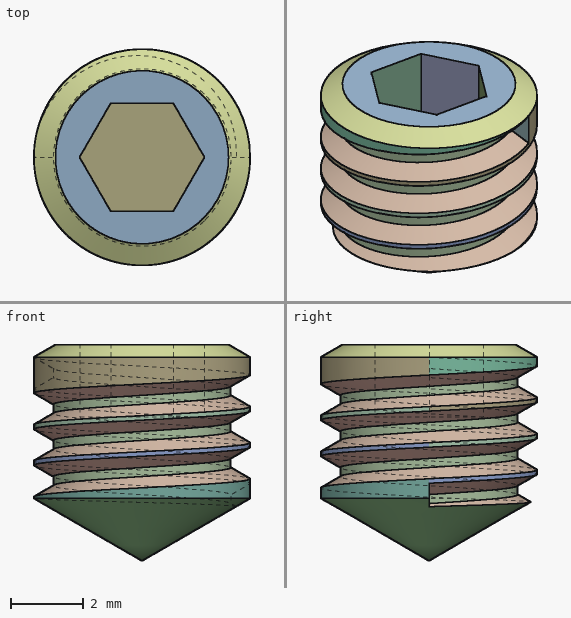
import cadquery as cq
import math

SCREW_DIAMETER = 6.0
SCREW_LENGTH = 6.0
THREAD_PITCH = 1.0
THREAD_TURNS = 3.5
SOCKET_ACROSS_FLATS = 3.0
SOCKET_DEPTH = 2.0
CHAMFER_WIDTH = 0.6
SLOPE = math.tan(math.radians(30))

screw_radius = SCREW_DIAMETER / 2
cone_height = screw_radius * SLOPE
shoulder_z = SCREW_LENGTH - CHAMFER_WIDTH * SLOPE

groove_mouth = THREAD_PITCH * 7 / 8
groove_root = THREAD_PITCH / 4
groove_depth = (groove_mouth - groove_root) / 2 / SLOPE
root_radius = screw_radius - groove_depth
GROOVE_OVERRUN = 0.1


def make_blank():
    """Solid of revolution with the cone point and the chamfered top."""
    outline = [
        (0, 0),
        (screw_radius, cone_height),
        (screw_radius, shoulder_z),
        (screw_radius - CHAMFER_WIDTH, SCREW_LENGTH),
        (0, SCREW_LENGTH),
    ]
    return cq.Workplane("XZ").polyline(outline).close().revolve(360, (0, 0, 0), (0, 1, 0))


def make_thread_groove():
    """Right-handed groove that starts at +X and ends at -X, just under the chamfer."""
    thread_height = THREAD_TURNS * THREAD_PITCH
    start_z = shoulder_z - groove_mouth / 2 - thread_height
    outer_radius = screw_radius + GROOVE_OVERRUN
    outer_half_width = groove_mouth / 2 + GROOVE_OVERRUN * SLOPE
    profile = [
        (root_radius, start_z - groove_root / 2),
        (root_radius, start_z + groove_root / 2),
        (outer_radius, start_z + outer_half_width),
        (outer_radius, start_z - outer_half_width),
    ]
    helix = cq.Wire.makeHelix(THREAD_PITCH, thread_height, root_radius, center=cq.Vector(0, 0, start_z))
    return cq.Workplane("XZ").polyline(profile).close().sweep(cq.Workplane(helix), isFrenet=True)


def make_socket():
    """Hexagonal socket with two corners on the X axis."""
    across_corners = SOCKET_ACROSS_FLATS / math.cos(math.radians(30))
    top = cq.Workplane("XY").workplane(offset=SCREW_LENGTH)
    return top.polygon(6, across_corners).extrude(-SOCKET_DEPTH)


result = make_blank().cut(make_thread_groove()).cut(make_socket())